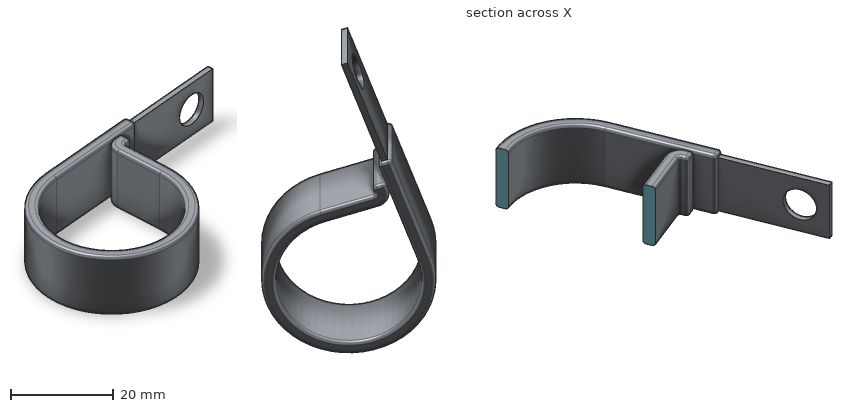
import math

import cadquery as cq


bore_diameter = 28.575
metal_thickness = 1.2446
metal_width = 12.7
cushion_layer = 0.762
tab_end_y = 47.625
leg_end_y = tab_end_y / 2
hole_diameter = 7.14
hole_end_distance = metal_width / 2
hook_metal_radius = metal_thickness
hook_tip_length = 2 * cushion_layer
hook_gap = 0.02

strap_thickness = metal_thickness + 2 * cushion_layer
strap_width = metal_width + 2 * cushion_layer
inner_radius = bore_diameter / 2
outer_radius = inner_radius + strap_thickness
hook_inner_radius = hook_metal_radius - cushion_layer
hook_outer_radius = hook_inner_radius + strap_thickness
hook_left_x = -inner_radius + hook_gap
hook_right_x = hook_left_x + strap_thickness
bend_x = hook_left_x + hook_outer_radius
bend_y = outer_radius + hook_inner_radius
hook_tip_y = bend_y + hook_tip_length
diagonal = math.sqrt(0.5)


def make_strap():
    """Cushioned strap: leg, three-quarter loop and hook, rounded on every edge."""
    profile = (
        cq.Workplane("XY", origin=(0, 0, -strap_width / 2))
        .moveTo(-outer_radius, leg_end_y)
        .lineTo(-outer_radius, 0)
        .threePointArc((outer_radius * diagonal, -outer_radius * diagonal), (0, outer_radius))
        .lineTo(bend_x, outer_radius)
        .threePointArc(
            (bend_x - hook_inner_radius * diagonal, bend_y - hook_inner_radius * diagonal),
            (hook_right_x, bend_y),
        )
        .lineTo(hook_right_x, hook_tip_y)
        .lineTo(hook_left_x, hook_tip_y)
        .lineTo(hook_left_x, bend_y)
        .threePointArc(
            (bend_x - hook_outer_radius * diagonal, bend_y - hook_outer_radius * diagonal),
            (bend_x, inner_radius),
        )
        .lineTo(0, inner_radius)
        .threePointArc((inner_radius * diagonal, -inner_radius * diagonal), (-inner_radius, 0))
        .lineTo(-inner_radius, leg_end_y)
        .close()
    )
    strap = profile.extrude(strap_width)

    margin = cushion_layer
    end_corners = cq.selectors.BoxSelector(
        (-outer_radius - margin, hook_tip_y - margin, -strap_width),
        (hook_right_x + margin, leg_end_y + margin, strap_width),
    )
    strap = strap.edges("|Z").edges(end_corners).fillet(cushion_layer)
    return strap.faces("<Z or >Z").edges().fillet(cushion_layer)


def make_tab():
    """Bare metal tab, running on into the cushioned leg down to the loop."""
    tab = cq.Workplane("XY").box(
        metal_thickness, tab_end_y, metal_width, centered=(False, False, True)
    )
    tab = tab.translate((-outer_radius + cushion_layer, 0, 0))
    hole = (
        cq.Workplane("YZ", origin=(-outer_radius, 0, 0))
        .center(tab_end_y - hole_end_distance, 0)
        .circle(hole_diameter / 2)
        .extrude(strap_thickness)
    )
    return tab.cut(hole)


result = make_strap().union(make_tab())